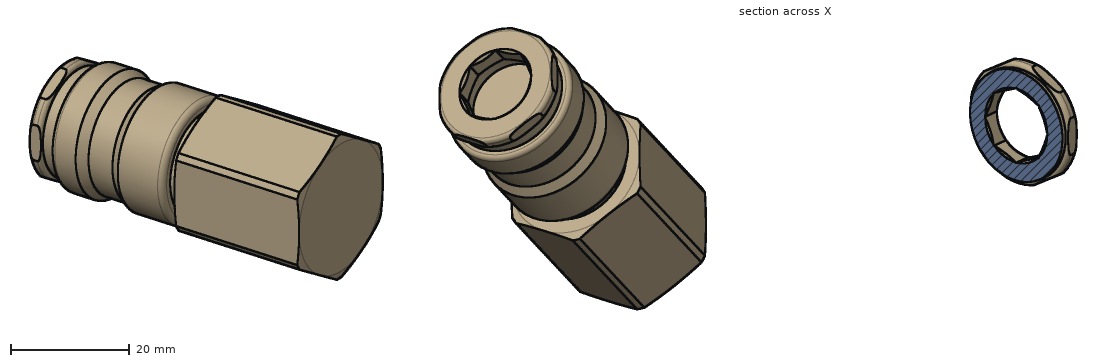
import cadquery as cq
import math


COLLAR_END = 2.5
SLEEVE_START = 5.25
SLEEVE_END = 28.7
HEX_START = 31.4
TOTAL_LENGTH = 57.5

COLLAR_DIAMETER = 22.0
COLLAR_ACROSS_FLATS = 21.0
COLLAR_FILLET = 0.8

FRONT_NECK_DIAMETER = 20.0
REAR_NECK_DIAMETER = 19.0

HEX_ACROSS_FLATS = 24.05
HEX_CORNER_DIAMETER = 27.0
HEX_CHAMFER_ANGLE = 15.0

SLEEVE_DIAMETER = 23.2
WAIST_DIAMETER = 21.0
WAIST_START = 12.35
WAIST_END = 17.35
WAIST_TAPER_LENGTH = 1.9
SLEEVE_FRONT_FILLET = 0.85
SLEEVE_REAR_FILLET = 1.1

MOUTH_SIDES = 8
MOUTH_CORNER_DIAMETER = 13.45
MOUTH_END = 3.35
COUNTERSINK_HALF_ANGLE = 40.0
BACK_CONE_HALF_ANGLE = 60.0
BORE_DIAMETER = 14.0
BORE_END = 6.05


def cylinder(diameter, start, end):
    """Round bar on the X axis between two positions."""
    return cq.Workplane("YZ", origin=(start, 0, 0)).circle(diameter / 2).extrude(end - start)


def prism(sides, corner_diameter, start, end):
    """Regular polygon bar on the X axis; one corner points along the profile's first axis."""
    return cq.Workplane("YZ", origin=(start, 0, 0)).polygon(sides, corner_diameter).extrude(end - start)


def hex_bar(across_flats, start, end):
    """Hexagonal bar on the X axis with corners at +Z and -Z."""
    corner_diameter = across_flats / math.cos(math.pi / 6)
    return prism(6, corner_diameter, start, end).rotate((0, 0, 0), (1, 0, 0), 90)


def turned(points):
    """Solid of revolution about X from an outline of (x, radius) points."""
    return cq.Workplane("XY").polyline(points).close().revolve(360, (0, 0, 0), (1, 0, 0))


def make_collar():
    """Front ring with rounded rims and six wrench flats."""
    ring = cylinder(COLLAR_DIAMETER, 0, COLLAR_END).edges().fillet(COLLAR_FILLET)
    return ring.intersect(hex_bar(COLLAR_ACROSS_FLATS, 0, COLLAR_END))


def make_rear_hex():
    """Rear hexagon with turned corners and a shallow conical chamfer on both ends."""
    face_radius = HEX_ACROSS_FLATS / 2
    corner_radius = HEX_CORNER_DIAMETER / 2
    chamfer_length = (corner_radius - face_radius) * math.tan(math.radians(HEX_CHAMFER_ANGLE))
    envelope = turned([
        (HEX_START, 0),
        (HEX_START, face_radius),
        (HEX_START + chamfer_length, corner_radius),
        (TOTAL_LENGTH - chamfer_length, corner_radius),
        (TOTAL_LENGTH, face_radius),
        (TOTAL_LENGTH, 0),
    ])
    return envelope.intersect(hex_bar(HEX_ACROSS_FLATS, HEX_START, TOTAL_LENGTH))


def make_socket_cavity():
    """Octagonal mouth, countersunk in front, opening through a cone into a blind round bore."""
    corner_radius = MOUTH_CORNER_DIAMETER / 2
    bore_radius = BORE_DIAMETER / 2
    countersink_end_radius = corner_radius - MOUTH_END * math.tan(math.radians(COUNTERSINK_HALF_ANGLE))
    back_slope = math.tan(math.radians(BACK_CONE_HALF_ANGLE))
    back_cone_tip = MOUTH_END - corner_radius / back_slope
    bore_start = MOUTH_END + (bore_radius - corner_radius) / back_slope

    mouth = prism(MOUTH_SIDES, MOUTH_CORNER_DIAMETER, 0, MOUTH_END)
    countersink = turned([(0, 0), (0, corner_radius), (MOUTH_END, countersink_end_radius), (MOUTH_END, 0)])
    bore = turned([
        (back_cone_tip, 0),
        (bore_start, bore_radius),
        (BORE_END, bore_radius),
        (BORE_END, 0),
    ])
    return mouth.union(countersink).union(bore)


def make_core():
    """Collar, necks and rear hexagon in one piece, with the socket cavity cut in the front."""
    front_neck = cylinder(FRONT_NECK_DIAMETER, COLLAR_END, SLEEVE_START)
    rear_neck = cylinder(REAR_NECK_DIAMETER, SLEEVE_START, HEX_START)
    solid_core = make_collar().union(front_neck).union(rear_neck).union(make_rear_hex())
    return solid_core.cut(make_socket_cavity())


def make_sleeve():
    """Waisted ring that fits the rear neck, with rounded outer rims."""
    outer_radius = SLEEVE_DIAMETER / 2
    waist_radius = WAIST_DIAMETER / 2
    blank = turned([
        (SLEEVE_START, 0),
        (SLEEVE_START, outer_radius),
        (WAIST_START - WAIST_TAPER_LENGTH, outer_radius),
        (WAIST_START, waist_radius),
        (WAIST_END, waist_radius),
        (WAIST_END + WAIST_TAPER_LENGTH, outer_radius),
        (SLEEVE_END, outer_radius),
        (SLEEVE_END, 0),
    ])
    rounded = blank.faces("<X").edges().fillet(SLEEVE_FRONT_FILLET)
    rounded = rounded.faces(">X").edges().fillet(SLEEVE_REAR_FILLET)
    return rounded.cut(cylinder(REAR_NECK_DIAMETER, SLEEVE_START, SLEEVE_END))


core = make_core()
sleeve = make_sleeve()

result = cq.Compound.makeCompound([core.val(), sleeve.val()])